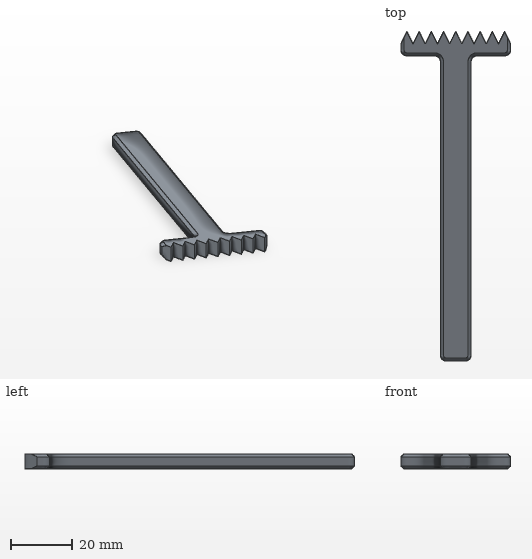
import cadquery as cq

total_length = 108.0
thickness = 5.0

tooth_count = 9
tooth_pitch = 4.0
tooth_depth = tooth_pitch
head_width = tooth_count * tooth_pitch
head_depth = 2 * tooth_pitch

handle_width = 10.0
corner_radius = tooth_pitch / 2
edge_chamfer = 1.0

tip_y = total_length
root_y = tip_y - tooth_depth
head_bottom_y = tip_y - head_depth


def make_body():
    """T-shaped bar with rounded corners and chamfered edges, running from Y = 0 to the tooth tips."""
    handle = cq.Workplane("XY").box(handle_width, tip_y, thickness, centered=(True, False, True))
    head = (
        cq.Workplane("XY")
        .box(head_width, head_depth, thickness, centered=(True, False, True))
        .translate((0, head_bottom_y, 0))
    )
    body = handle.union(head, clean=True)
    toothed_side_corners = cq.selectors.BoxSelector(
        (-head_width, root_y, -thickness), (head_width, tip_y + tooth_depth, thickness)
    )
    body = body.edges(cq.selectors.SubtractSelector(
        cq.selectors.ParallelDirSelector(cq.Vector(0, 0, 1)), toothed_side_corners
    )).fillet(corner_radius)
    return body.faces("|Z").edges("not(>Y)").chamfer(edge_chamfer)


def make_tooth_gaps():
    """Triangular gaps between the teeth, with a half gap beyond each outer tooth."""
    first_gap_x = -head_width / 2
    gap_centers = [(first_gap_x + i * tooth_pitch, root_y) for i in range(tooth_count + 1)]
    gap = (
        cq.Workplane("XY")
        .polyline([(0, 0), (tooth_pitch / 2, tooth_depth), (-tooth_pitch / 2, tooth_depth)])
        .close()
        .extrude(thickness / 2, both=True)
        .val()
    )
    return cq.Workplane("XY").pushPoints(gap_centers).eachpoint(gap, combine=False)


result = make_body()
for tooth_gap in make_tooth_gaps().vals():
    result = result.cut(tooth_gap)